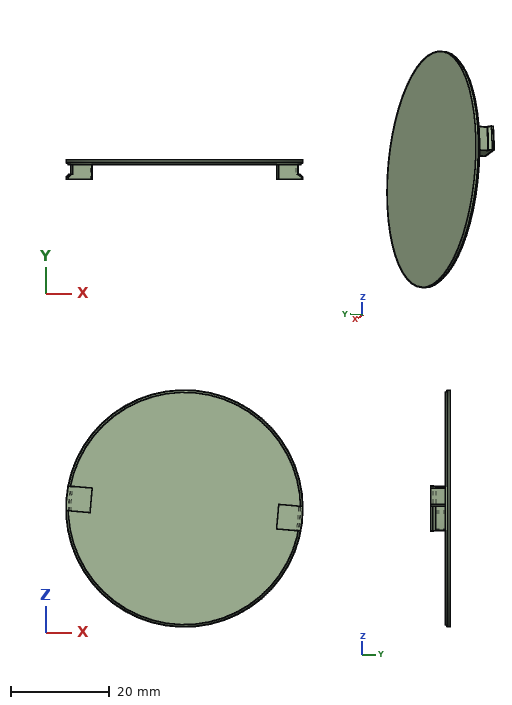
import cadquery as cq

plate_diameter = 48.0
plate_thickness = 1.0
plate_chamfer = 0.5

total_depth = 4.0
tab_width = 5.0
tab_inner_distance = 18.95
tab_tilt = 5.0
tab_count = 2

stem_radius = 23.05
hook_radius = 23.95
hook_depth = 1.0
hook_bevel = 0.6

plate_radius = plate_diameter / 2


def make_plate():
    """Disc with a chamfer around its front edge."""
    disc = cq.Workplane("XZ").circle(plate_radius).extrude(plate_thickness)
    return disc.faces("<Y").chamfer(plate_chamfer)


def make_tab_ring():
    """Revolve the hooked section around the plate axis, so outer faces are round."""
    root_y = -plate_thickness / 2
    tip_y = -total_depth
    ledge_y = tip_y + hook_depth
    section = (
        cq.Workplane("XY")
        .moveTo(0, root_y)
        .lineTo(stem_radius, root_y)
        .lineTo(stem_radius, ledge_y)
        .lineTo(hook_radius - hook_bevel, ledge_y)
        .lineTo(hook_radius, ledge_y - hook_bevel)
        .lineTo(hook_radius, tip_y)
        .lineTo(0, tip_y)
        .close()
    )
    return section.revolve(360, (0, 0, 0), (0, 1, 0))


def make_tab(angle):
    """Cut one straight-sided tab from the ring and turn it about the plate axis."""
    length = plate_radius - tab_inner_distance
    block = (
        cq.Workplane("XZ")
        .center(tab_inner_distance + length / 2, 0)
        .rect(length, tab_width)
        .extrude(total_depth)
    )
    return make_tab_ring().intersect(block).rotate((0, 0, 0), (0, 1, 0), angle)


result = make_plate()
for index in range(tab_count):
    result = result.union(make_tab(tab_tilt + index * 360 / tab_count))